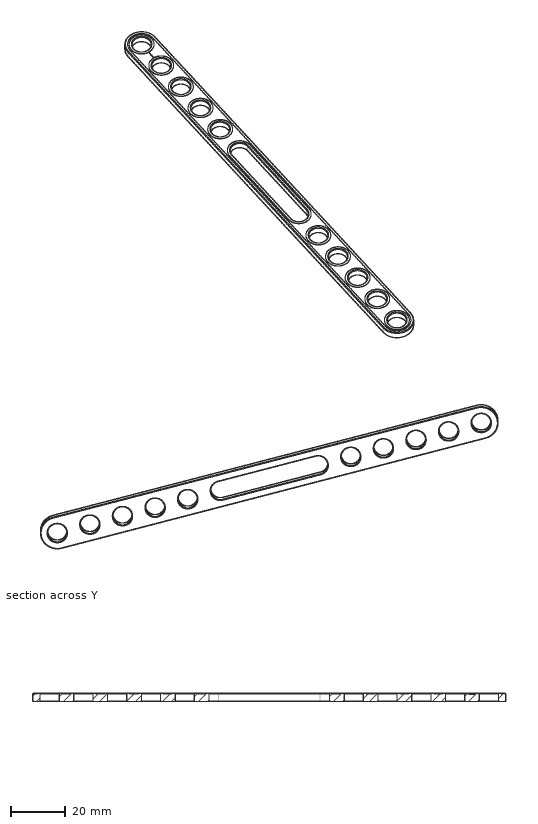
import cadquery as cq

length = 175.0
thickness = 3.2
hole_positions = 14
holes_per_side = 5
hole_diameter = 7.0
edge_chamfer = 0.3
flat_width = 0.8
recess_depth = 0.2

groove_length = 2.1
groove_width = 0.2
groove_depth = 0.2

pitch = length / hole_positions
width = pitch
end_span = length - width
slot_span = (hole_positions - 2 * holes_per_side - 1) * pitch
border = edge_chamfer + flat_width
collar_diameter = hole_diameter + 2 * border
floor_z = thickness - recess_depth


def rounded_bar(centre_span, diameter, height, base_z=0.0):
    """Bar along X with semicircular ends, given the distance between end centres."""
    return (
        cq.Workplane("XY", origin=(0, 0, base_z))
        .slot2D(centre_span + diameter, diameter)
        .extrude(height)
    )


def round_posts(diameter, height, base_z=0.0):
    """Cylinders at every round hole position."""
    distances = [end_span / 2 - index * pitch for index in range(holes_per_side)]
    points = [(side * distance, 0) for side in (-1, 1) for distance in distances]
    return (
        cq.Workplane("XY", origin=(0, 0, base_z))
        .pushPoints(points)
        .circle(diameter / 2)
        .extrude(height)
    )


def make_strip():
    """Round-ended strip with its holes and slot, edges chamfered on both faces."""
    strip = rounded_bar(end_span, width, thickness)
    strip = strip.cut(round_posts(hole_diameter, thickness))
    strip = strip.cut(rounded_bar(slot_span, hole_diameter, thickness))
    return strip.faces("<Z or >Z").edges().chamfer(edge_chamfer)


def make_recess():
    """Shallow top recess that leaves the outer rim and the collars standing."""
    recess = rounded_bar(end_span, width - 2 * border, recess_depth, floor_z)
    recess = recess.cut(round_posts(collar_diameter, recess_depth, floor_z))
    return recess.cut(rounded_bar(slot_span, collar_diameter, recess_depth, floor_z))


def make_groove():
    """Fine groove along X, midway between the two holes at the -X end."""
    groove_x = (pitch - end_span) / 2
    return (
        cq.Workplane("XY", origin=(groove_x, 0, floor_z))
        .rect(groove_length, groove_width)
        .extrude(-groove_depth)
    )


result = make_strip().cut(make_recess()).cut(make_groove())